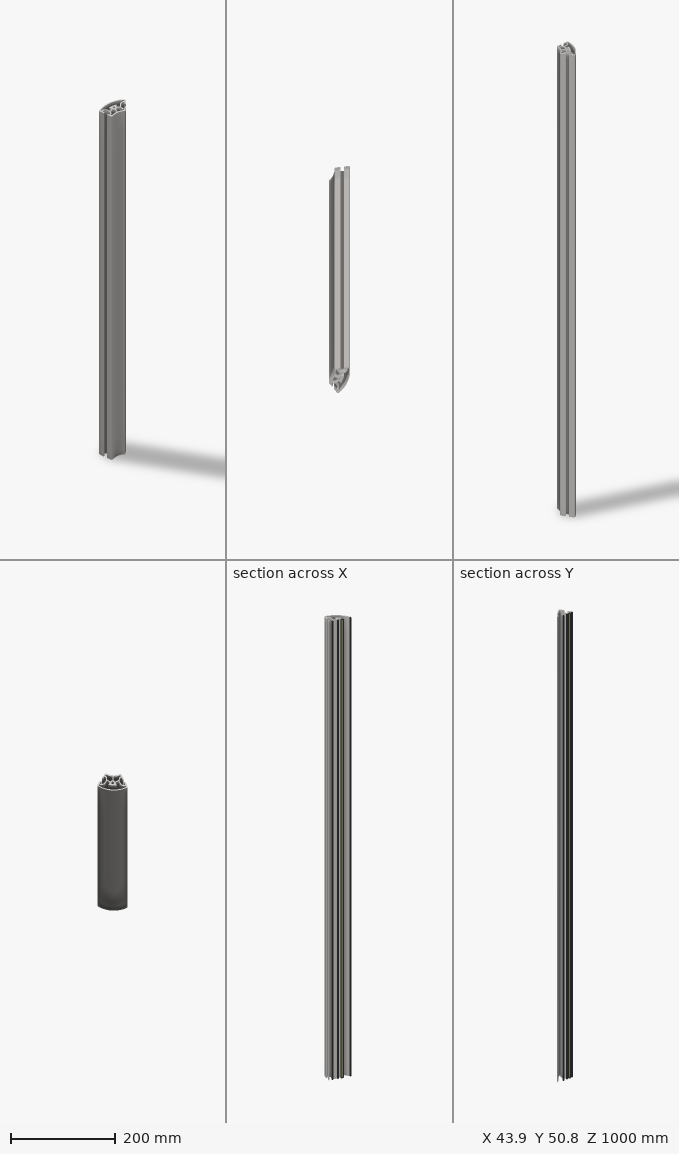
import cadquery as cq
import math

length = 1000
outer_radius = 60.0
inner_radius = outer_radius / 2
sector_angle = 60
corner_radius = 3.0

outer_wall = 2.0
inner_wall = 2.5
end_wall = 3.0
hollow_radius = 1.5

slot_width = 6.2
slot_edge_radius = 1.0
lip_thickness = 2.5
cavity_width = 16.0
cavity_shoulder = 5.5
cavity_floor = 9.0
floor_width = 8.0
floor_groove_depth = 0.5
channel_wall = 2.0

core_thickness = 10.0
core_inset = 17.5
bore_diameter = 5.0
web_thickness = 2.0
neck_radius = 40.0

mid_radius = (outer_radius + inner_radius) / 2
middle_angle = 180 - sector_angle / 2
core_inner_radius = mid_radius - core_thickness / 2
core_outer_radius = mid_radius + core_thickness / 2


def polar(radius, angle):
    """Point at a radius and an angle in degrees about the arc centre."""
    return (radius * math.cos(math.radians(angle)), radius * math.sin(math.radians(angle)))


def arc_section(inside, outside, inset):
    """Solid between two radii, its flat ends set in parallel to the ends of the part."""
    half_inside = sector_angle / 2 - math.degrees(math.asin(inset / inside))
    half_outside = sector_angle / 2 - math.degrees(math.asin(inset / outside))
    return (
        cq.Workplane("XY")
        .moveTo(*polar(outside, middle_angle + half_outside))
        .threePointArc(polar(outside, middle_angle), polar(outside, middle_angle - half_outside))
        .lineTo(*polar(inside, middle_angle - half_inside))
        .threePointArc(polar(inside, middle_angle), polar(inside, middle_angle + half_inside))
        .close()
        .extrude(length)
    )


def on_both_ends(shape):
    """A shape at the -X end joined with its mirror image at the other end."""
    mirror_normal = cq.Vector(*polar(1, middle_angle + 90))
    return shape.union(shape.mirror(mirror_normal))


def slot_sketch():
    """Workplane centred on the T-slot, at the flat end along -X."""
    return cq.Workplane("XY").center(-mid_radius, 0)


def cavity_outline():
    """Undercut of the T-slot, tapering from its shoulders to its floor."""
    half_width = cavity_width / 2
    half_floor = floor_width / 2
    return (
        slot_sketch()
        .moveTo(-half_width, lip_thickness)
        .lineTo(half_width, lip_thickness)
        .lineTo(half_width, cavity_shoulder)
        .lineTo(half_floor, cavity_floor)
        .lineTo(-half_floor, cavity_floor)
        .lineTo(-half_width, cavity_shoulder)
        .close()
    )


def slot_mouth():
    """Opening between the lips, with rounded edges, down to a V-groove in the floor."""
    half_width = slot_width / 2
    half_rounded = half_width + slot_edge_radius
    return (
        slot_sketch()
        .moveTo(-half_rounded, 0)
        .radiusArc((-half_width, slot_edge_radius), -slot_edge_radius)
        .lineTo(-half_width, cavity_floor)
        .lineTo(-floor_groove_depth, cavity_floor)
        .lineTo(0, cavity_floor + floor_groove_depth)
        .lineTo(floor_groove_depth, cavity_floor)
        .lineTo(half_width, cavity_floor)
        .lineTo(half_width, slot_edge_radius)
        .radiusArc((half_rounded, 0), -slot_edge_radius)
        .close()
        .extrude(length)
    )


def neck():
    """Web from the floor of the slot channel into the core bar."""
    height = core_inset + web_thickness - cavity_floor
    return (
        cq.Workplane("XY")
        .center(-neck_radius, cavity_floor + height / 2)
        .rect(web_thickness, height)
        .extrude(length)
    )


def middle_web():
    """Web along the middle line, from the inner wall to the core bar."""
    start_radius = inner_radius + inner_wall / 2
    end_radius = core_inner_radius + web_thickness
    return (
        cq.Workplane("XY")
        .center((start_radius + end_radius) / 2, 0)
        .rect(end_radius - start_radius, web_thickness)
        .extrude(length)
        .rotate((0, 0, 0), (0, 0, 1), middle_angle)
    )


body = arc_section(inner_radius, outer_radius, 0).edges("|Z").fillet(corner_radius)

hollow = arc_section(inner_radius + inner_wall, outer_radius - outer_wall, end_wall)
hollow = hollow.edges("|Z").fillet(hollow_radius)
channel = cavity_outline().offset2D(channel_wall, "intersection").extrude(length)
hollow = hollow.cut(on_both_ends(channel.union(neck())))
hollow = hollow.cut(arc_section(core_inner_radius, core_outer_radius, core_inset))
hollow = hollow.cut(middle_web())

slots = on_both_ends(cavity_outline().extrude(length).union(slot_mouth()))
bore_centre = polar(mid_radius, middle_angle)
bore = cq.Workplane("XY").center(*bore_centre).circle(bore_diameter / 2).extrude(length)

result = body.cut(hollow).cut(slots).cut(bore)